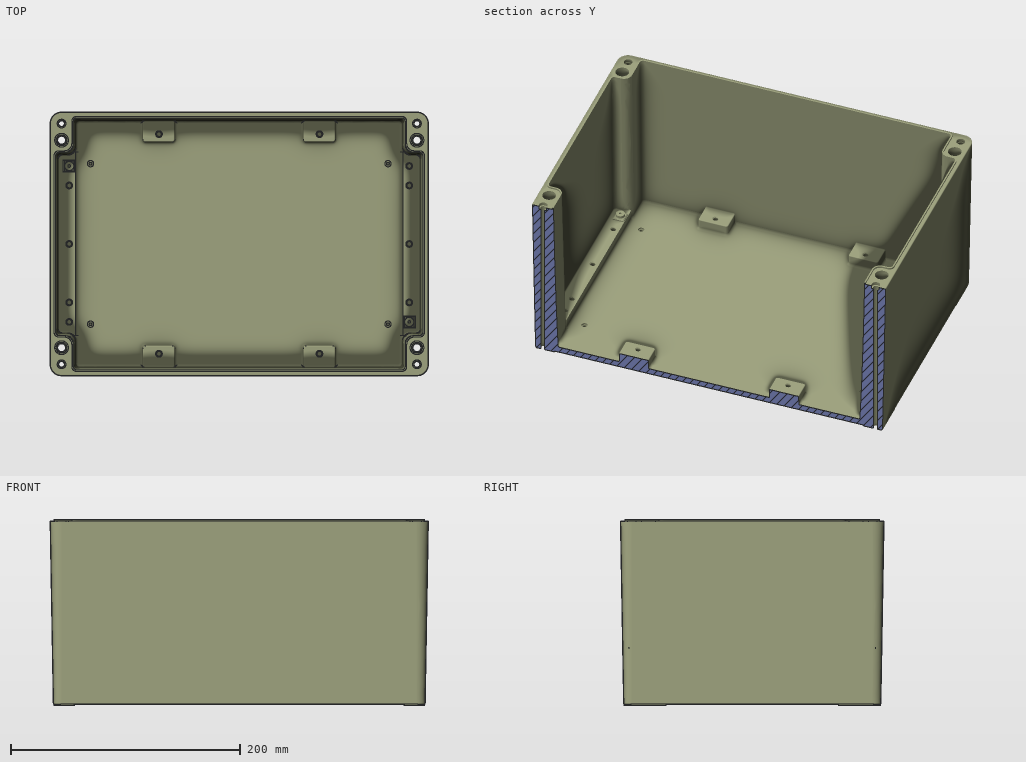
import cadquery as cq
import math

LENGTH = 330.0
WIDTH = 230.0
HEIGHT = 162.5
DRAFT = 1.0
CORNER_RADIUS = 10.0
TOP_ROUND = 0.8
BOTTOM_ROUND = 1.2

FOOT_HEIGHT = 1.0
FOOT_LENGTH = 18.0
FOOT_WIDTH = 36.5
FOOT_INSET = 0.5
FOOT_RADIUS = 7.0

FLOOR_Z = 6.0
CAVITY_HALF_X = 160.2
CAVITY_HALF_Y = 109.9
PILLAR_FACE_X = 144.8
PILLAR_FACE_Y = 80.0
CAVITY_CORNER_RADIUS = 3.0
PILLAR_RADIUS = 7.5
FLOOR_ROUND = 2.1

LIP_WIDTH = 1.3
LIP_HEIGHT = 1.5

PILLAR_HOLE_X = 155.0
COVER_HOLE_Y = 105.0
COVER_HOLE_DIAMETER = 5.0
COVER_SINK_DIAMETER = 7.6
COVER_SINK_DEPTH = 3.0
MOUNT_HOLE_Y = 90.5
MOUNT_HOLE_DIAMETER = 7.0
MOUNT_BORE_DIAMETER = 9.5
MOUNT_BORE_DEPTH = 150.0
MOUNT_SINK_DIAMETER = 12.0
MOUNT_SINK_DEPTH = 10.0

LEDGE_HEIGHT = 10.0
LEDGE_ROUND = 1.1
SHELF_FACE_X = 142.8
BLOCK_X = 70.0
BLOCK_LENGTH = 27.5
BLOCK_FACE_Y = 89.0
BLOCK_CORNER_RADIUS = 2.0
BLOCK_TOP_ROUND = 0.8

SHELF_HOLE_X = 148.3
SHELF_HOLE_YS = (-68.0, -51.0, 0.0, 51.0, 68.0)
BLOCK_HOLE_Y = 95.8
LEDGE_HOLE_DIAMETER = 4.2
LEDGE_HOLE_DEPTH = 8.0
LEDGE_SINK_DIAMETER = 5.8
SINK_ANGLE = 45.0

FLOOR_HOLE_X = 129.7
FLOOR_HOLE_Y = 70.0
FLOOR_HOLE_DIAMETER = 2.5
FLOOR_HOLE_DEPTH = 3.0
FLOOR_SINK_DIAMETER = 5.5
FLOOR_SINK_DEPTH = 1.2

CLAMP_SIZE = 10.5
CLAMP_THICKNESS = 2.0
CLAMP_CHAMFER = 1.0
SCREW_HEAD_DIAMETER = 8.0
SCREW_HEAD_HEIGHT = 2.5
SOCKET_DIAMETER = 2.2
SOCKET_DEPTH = 1.5

SLOPE = math.tan(math.radians(DRAFT))
RIM_Z = HEIGHT - LIP_HEIGHT
BODY_HEIGHT = RIM_Z - FOOT_HEIGHT
LEDGE_Z = FLOOR_Z + LEDGE_HEIGHT
PLANE_TOLERANCE = 0.01
BLOCK_WALL_GAP = LEDGE_ROUND + (HEIGHT - LEDGE_Z) * SLOPE + PLANE_TOLERANCE
SIGNS = (-1, 1)


def mirrored(x, y):
    """The four places at one distance from both mid-planes."""
    return [(side_x * x, side_y * y) for side_x in SIGNS for side_y in SIGNS]


def drill(places, diameter, z_top, depth):
    """Round cutters that go down from z_top."""
    start = cq.Workplane("XY", origin=(0, 0, z_top))
    return start.pushPoints(places).circle(diameter / 2).extrude(-depth)


def countersink(places, diameter, hole_diameter, z_top):
    """Cones that widen a hole at its mouth."""
    depth = (diameter - hole_diameter) / 2 / math.tan(math.radians(SINK_ANGLE))
    start = cq.Workplane("XY", origin=(0, 0, z_top))
    return start.pushPoints(places).circle(diameter / 2).extrude(-depth, taper=SINK_ANGLE)


def outer_shell():
    outline = cq.Sketch().rect(LENGTH, WIDTH).vertices().fillet(CORNER_RADIUS)
    start = cq.Workplane("XY", origin=(0, 0, RIM_Z))
    shell = start.placeSketch(outline).extrude(-BODY_HEIGHT, taper=DRAFT)
    shell = shell.faces(">Z").edges().fillet(TOP_ROUND)
    return shell.faces("<Z").edges().fillet(BOTTOM_ROUND)


def feet():
    half_x = LENGTH / 2 - BODY_HEIGHT * SLOPE - FOOT_INSET
    half_y = WIDTH / 2 - BODY_HEIGHT * SLOPE - FOOT_INSET
    reach = FOOT_HEIGHT + BOTTOM_ROUND
    outline = cq.Sketch().rect(2 * half_x, 2 * half_y).vertices().fillet(FOOT_RADIUS)
    plate = cq.Workplane("XY").placeSketch(outline).extrude(reach)
    corners = cq.Workplane("XY").pushPoints(mirrored(half_x, half_y))
    return plate.intersect(corners.rect(2 * FOOT_LENGTH, 2 * FOOT_WIDTH).extrude(reach))


def cavity_points(grow):
    """Cavity outline at the top of the lip, moved outward by grow."""
    wall_x = CAVITY_HALF_X + grow
    wall_y = CAVITY_HALF_Y + grow
    pillar_x = PILLAR_FACE_X + grow
    pillar_y = PILLAR_FACE_Y + grow
    quarter = [(pillar_x, wall_y), (pillar_x, pillar_y), (wall_x, pillar_y)]
    half = quarter + [(x, -y) for x, y in reversed(quarter)]
    return half + [(-x, y) for x, y in reversed(half)]


def round_uprights(prism, grow):
    """Round the upright edges: wide around the pillars, narrow in the wall corners."""
    split_x = (PILLAR_FACE_X + CAVITY_HALF_X) / 2
    split_y = (PILLAR_FACE_Y + CAVITY_HALF_Y) / 2
    at_pillars = cq.selectors.BoxSelector((-split_x, -split_y, 0), (split_x, split_y, 2 * HEIGHT))
    uprights = prism.edges("not #Z")
    in_corners = uprights.edges(cq.selectors.SubtractSelector(cq.selectors.Selector(), at_pillars))
    corner_centers = [edge.Center() for edge in in_corners.vals()]
    prism = uprights.edges(at_pillars).fillet(PILLAR_RADIUS - grow)
    for center in corner_centers:
        nearest = cq.selectors.NearestToPointSelector(center.toTuple())
        prism = prism.edges(nearest).fillet(CAVITY_CORNER_RADIUS + grow)
    return prism


def cavity(bottom_z, bottom_round, obstacles):
    """Space from bottom_z to the top of the lip, less the obstacles, with a rounded bottom edge."""
    height = HEIGHT - bottom_z
    space = (
        cq.Workplane("XY", origin=(0, 0, bottom_z))
        .polyline(cavity_points(-height * SLOPE))
        .close()
        .workplane(offset=height)
        .polyline(cavity_points(0))
        .close()
        .loft(ruled=True)
    )
    space = round_uprights(space, 0)
    for obstacle in obstacles:
        space = space.cut(obstacle)
    return space.faces("<Z").edges().fillet(bottom_round)


def lip():
    start = cq.Workplane("XY", origin=(0, 0, RIM_Z))
    prism = start.polyline(cavity_points(LIP_WIDTH)).close().extrude(LIP_HEIGHT)
    return round_uprights(prism, LIP_WIDTH)


def shelf(side):
    """Drafted ledge along an end wall, with a foot that flares into the floor."""
    top_z = LEDGE_Z + LEDGE_ROUND
    wall_x = side * CAVITY_HALF_X
    foot_x = SHELF_FACE_X - LEDGE_HEIGHT * SLOPE
    profile = (
        cq.Workplane("XZ")
        .moveTo(wall_x, top_z)
        .lineTo(side * SHELF_FACE_X, top_z)
        .lineTo(side * (foot_x + FLOOR_ROUND * SLOPE), FLOOR_Z + FLOOR_ROUND)
        .radiusArc((side * (foot_x - FLOOR_ROUND), FLOOR_Z), side * FLOOR_ROUND)
        .lineTo(wall_x, FLOOR_Z)
        .close()
    )
    return profile.extrude(PILLAR_FACE_Y, both=True)


def block(x, side):
    """Drafted block that grows from a side wall."""
    depth = CAVITY_HALF_Y - BLOCK_FACE_Y
    outline = cq.Sketch().rect(BLOCK_LENGTH, 2 * depth).vertices().fillet(BLOCK_CORNER_RADIUS)
    start = cq.Workplane("XY", origin=(x, side * CAVITY_HALF_Y, LEDGE_Z + LEDGE_ROUND))
    return start.placeSketch(outline).extrude(-LEDGE_HEIGHT - LEDGE_ROUND, taper=-DRAFT)


def inner_space():
    blocks = [block(x, side) for x in (-BLOCK_X, BLOCK_X) for side in SIGNS]
    space = cavity(FLOOR_Z, FLOOR_ROUND, blocks)
    for side in SIGNS:
        space = space.cut(shelf(side))
    space = space.union(cavity(LEDGE_Z, LEDGE_ROUND, []))
    block_tops = cq.selectors.BoxSelector(
        (-BLOCK_X - BLOCK_LENGTH, -CAVITY_HALF_Y + BLOCK_WALL_GAP, LEDGE_Z - PLANE_TOLERANCE),
        (BLOCK_X + BLOCK_LENGTH, CAVITY_HALF_Y - BLOCK_WALL_GAP, LEDGE_Z + PLANE_TOLERANCE),
    )
    return space.edges(block_tops).fillet(BLOCK_TOP_ROUND)


def housing():
    space = inner_space()
    body = outer_shell().union(feet()).union(lip()).cut(space)

    cover_places = mirrored(PILLAR_HOLE_X, COVER_HOLE_Y)
    mount_places = mirrored(PILLAR_HOLE_X, MOUNT_HOLE_Y)
    floor_places = mirrored(FLOOR_HOLE_X, FLOOR_HOLE_Y)
    ledge_places = mirrored(BLOCK_X, BLOCK_HOLE_Y)
    ledge_places += [(side * SHELF_HOLE_X, y) for side in SIGNS for y in SHELF_HOLE_YS]
    cutters = [
        drill(cover_places, COVER_HOLE_DIAMETER, RIM_Z, RIM_Z),
        drill(cover_places, COVER_SINK_DIAMETER, RIM_Z, COVER_SINK_DEPTH),
        drill(mount_places, MOUNT_HOLE_DIAMETER, RIM_Z, RIM_Z),
        drill(mount_places, MOUNT_BORE_DIAMETER, RIM_Z, MOUNT_BORE_DEPTH),
        drill(mount_places, MOUNT_SINK_DIAMETER, RIM_Z, MOUNT_SINK_DEPTH),
        drill(ledge_places, LEDGE_HOLE_DIAMETER, LEDGE_Z, LEDGE_HOLE_DEPTH),
        countersink(ledge_places, LEDGE_SINK_DIAMETER, LEDGE_HOLE_DIAMETER, LEDGE_Z),
        drill(floor_places, FLOOR_HOLE_DIAMETER, FLOOR_Z, FLOOR_HOLE_DEPTH),
        drill(floor_places, FLOOR_SINK_DIAMETER, FLOOR_Z, FLOOR_SINK_DEPTH),
    ]
    for cutter in cutters:
        body = body.cut(cutter)
    return body


def clamp_plate(place):
    start = cq.Workplane("XY", origin=(0, 0, LEDGE_Z)).pushPoints([place])
    plate = start.rect(CLAMP_SIZE, CLAMP_SIZE).extrude(CLAMP_THICKNESS)
    plate = plate.faces(">Z").chamfer(CLAMP_CHAMFER)
    return plate.cut(drill([place], LEDGE_HOLE_DIAMETER, LEDGE_Z + CLAMP_THICKNESS, CLAMP_THICKNESS))


def terminal_screw(place):
    """The shank fills the plain part of the ledge hole."""
    seat_z = LEDGE_Z + CLAMP_THICKNESS
    head_z = seat_z + SCREW_HEAD_HEIGHT
    shank = drill([place], LEDGE_HOLE_DIAMETER, seat_z, CLAMP_THICKNESS + LEDGE_HOLE_DEPTH)
    head = drill([place], SCREW_HEAD_DIAMETER, head_z, SCREW_HEAD_HEIGHT)
    return shank.union(head).cut(drill([place], SOCKET_DIAMETER, head_z, SOCKET_DEPTH))


terminal_places = [(-SHELF_HOLE_X, SHELF_HOLE_YS[-1]), (SHELF_HOLE_X, SHELF_HOLE_YS[0])]
bodies = [housing().val()]
for terminal_place in terminal_places:
    bodies.append(clamp_plate(terminal_place).val())
    bodies.append(terminal_screw(terminal_place).val())
result = cq.Compound.makeCompound(bodies)